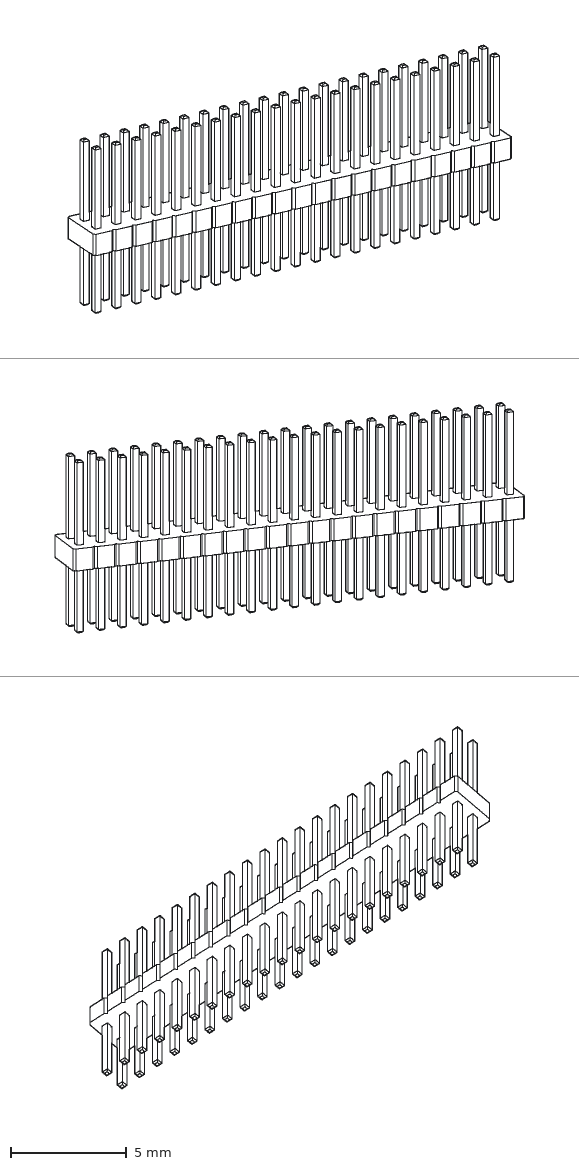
import cadquery as cq

pins_per_row = 21
length = 21.0
pitch = length / pins_per_row

width = 2.3
housing_height = pitch
corner_chamfer = pitch / 10

pin_size = 0.3 * pitch
pin_above = 3.8 * pitch
pin_below = 3 * pitch
pin_length = pin_below + housing_height + pin_above
tip_chamfer = pin_size / 4

row_x = [-pitch / 2, pitch / 2]
pin_y = [(i - (pins_per_row - 1) / 2) * pitch for i in range(pins_per_row)]


def make_housing():
    """Row of corner-chamfered blocks, with V-grooves between neighbours on both long sides."""
    block = (
        cq.Workplane("XY")
        .box(width, pitch, housing_height, centered=(True, True, False))
        .edges("|Z")
        .chamfer(corner_chamfer)
    )
    housing = cq.Workplane("XY")
    for y in pin_y:
        housing = housing.union(block.translate((0, y, 0)))
    return housing.clean()


def make_pin():
    """Square pin reaching through the housing, chamfered at both tips."""
    return (
        cq.Workplane("XY")
        .workplane(offset=-pin_below)
        .rect(pin_size, pin_size)
        .extrude(pin_length)
        .faces("<Z or >Z")
        .chamfer(tip_chamfer)
    )


pin = make_pin()
pins = [pin.translate((x, y, 0)).val() for x in row_x for y in pin_y]
header = make_housing().val().fuse(*pins)
result = cq.Workplane("XY").newObject([header.Solids()[0]])